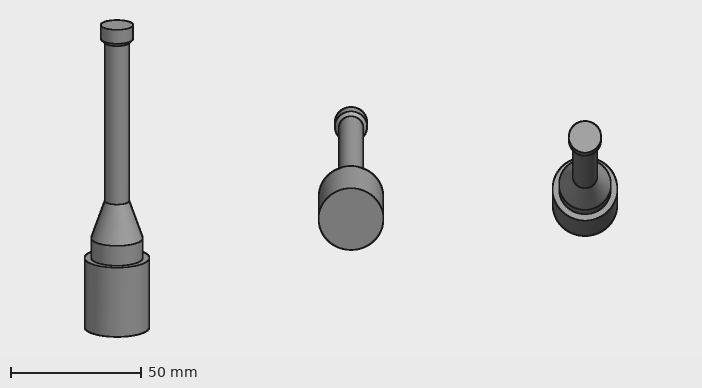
import cadquery as cq

base_diameter = 25.0
collar_diameter = 20.0
stem_diameter = 9.5
head_diameter = 12.5

base_top = 28.0
collar_top = 36.0
taper_top = 51.0
total_height = 122.0

head_height = 5.6
underside_height = 1.5
head_bottom = total_height - head_height
stem_top = head_bottom - underside_height


def turned_body():
    """Revolve the half profile (radius, height) about the Z axis."""
    profile = (
        cq.Workplane("XZ")
        .moveTo(0, 0)
        .lineTo(base_diameter / 2, 0)
        .lineTo(base_diameter / 2, base_top)
        .lineTo(collar_diameter / 2, base_top)
        .lineTo(collar_diameter / 2, collar_top)
        .lineTo(stem_diameter / 2, taper_top)
        .lineTo(stem_diameter / 2, stem_top)
        .lineTo(head_diameter / 2, head_bottom)
        .lineTo(head_diameter / 2, total_height)
        .lineTo(0, total_height)
        .close()
    )
    return profile.revolve(360, (0, 0, 0), (0, 1, 0))


result = turned_body()